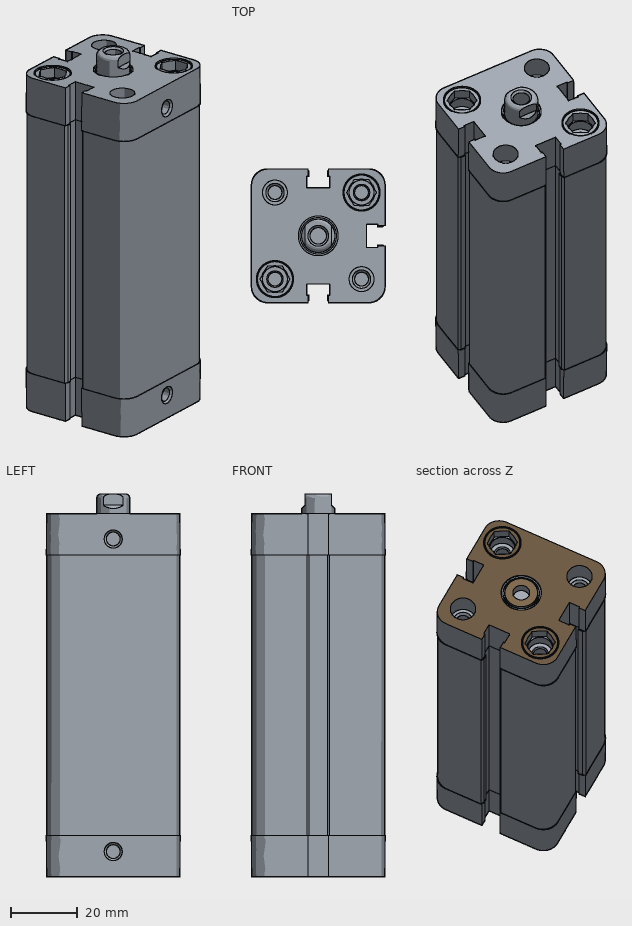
import cadquery as cq
import math

TOTAL_HEIGHT = 115.0
CAP_HEIGHT = 12.4
ROD_STICK_OUT = 6.0
HOUSING_HEIGHT = TOTAL_HEIGHT - ROD_STICK_OUT
BARREL_HEIGHT = HOUSING_HEIGHT - 2 * CAP_HEIGHT

BARREL_WIDTH = 40.0
BARREL_CORNER_RADIUS = 5.2
CAP_BASE_WIDTH = 40.2
CAP_END_WIDTH = 40.0
CAP_CORNER_RADIUS = 5.0

SLOT_ANGLES = (-90, 0, 90)
SLOT_DEPTH = 5.5
SLOT_LIP = 2.2
SLOT_OVERRUN = 1.2
SLOT_WIDTH = 6.9
BARREL_MOUTH_WIDTH = 5.4
BARREL_MOUTH_CHAMFER = 0.7
CAP_MOUTH_WIDTH = 6.1

TAP_DIAMETER = 4.1
TAP_LEAD_DIAMETER = 5.0
WIDE_LEAD_DIAMETER = 5.5
TAP_DEPTH = 3.5
PORT_FROM_END = 7.6
PORT_DEPTH = 5.8

CORNER_OFFSET = 13.0
CORNER_HOLE_DIAMETER = 7.5
CORNER_HOLE_DEPTH = 6.9
HEAD_RECESS_DIAMETER = 11.2
HEAD_RECESS_DEPTH = 0.6
HEAD_DIAMETER = 10.9
HEAD_TOP_DIAMETER = 10.5
HEAD_BELOW_FACE = 0.2
SOCKET_CORNER_DIAMETER = 9.0
SOCKET_HEX_DEPTH = 3.5
SOCKET_RELIEF_DIAMETER = 8.0

ROD_DIAMETER = 10.0
ROD_TOP_RADIUS = 1.4
ROD_FLAT_WIDTH = 8.0
ROD_FLAT_HEIGHT = 3.5
ROD_BORE_DIAMETER = 5.0
ROD_BORE_LEAD_DIAMETER = 6.2
ROD_BORE_DEPTH = 9.2
SEAL_DIAMETER = 10.9
SEAL_MOUTH_DIAMETER = 12.0
SEAL_MOUTH_DEPTH = 0.6
SEAL_DEPTH = 1.2


def cone(large_diameter, small_diameter, height, z_large, direction=-1):
    """Cone frustum on the Z axis, wide at z_large and narrowing along direction."""
    return cq.Workplane(cq.Solid.makeCone(
        large_diameter / 2, small_diameter / 2, height,
        cq.Vector(0, 0, z_large), cq.Vector(0, 0, direction)))


def bore(diameter, depth, z_top):
    """Cylinder on the Z axis that reaches down from z_top."""
    return cq.Workplane("XY", origin=(0, 0, z_top)).circle(diameter / 2).extrude(-depth)


def tapped_bore(diameter, lead_diameter, depth, z_top):
    """Bore with a 45 degree lead-in cone."""
    lead = (lead_diameter - diameter) / 2
    return bore(diameter, depth, z_top).union(cone(lead_diameter, diameter, lead, z_top))


def t_slots(mouth_width, mouth_chamfer, height):
    """Cutters for the vertical T-slots, starting at Z = 0."""
    face = BARREL_WIDTH / 2
    outside = face + SLOT_OVERRUN
    wide = SLOT_WIDTH / 2
    mouth = mouth_width / 2
    flare = mouth + mouth_chamfer
    half = [(face - SLOT_DEPTH, wide), (face - SLOT_LIP, wide), (face - SLOT_LIP, mouth)]
    if mouth_chamfer:
        half += [(face - mouth_chamfer, mouth), (face, flare)]
    half.append((outside, flare))
    outline = half + [(x, -y) for x, y in reversed(half)]
    slot = cq.Workplane("XY").polyline(outline).close().extrude(height)
    cutters = cq.Workplane("XY")
    for angle in SLOT_ANGLES:
        cutters = cutters.add(slot.rotate((0, 0, 0), (0, 0, 1), angle))
    return cutters.combine()


def make_barrel():
    block = cq.Workplane("XY").box(
        BARREL_WIDTH, BARREL_WIDTH, BARREL_HEIGHT, centered=(True, True, False))
    block = block.edges("|Z").fillet(BARREL_CORNER_RADIUS)
    block = block.cut(t_slots(BARREL_MOUTH_WIDTH, BARREL_MOUTH_CHAMFER, BARREL_HEIGHT))
    return block.translate((0, 0, CAP_HEIGHT))


def make_cap_blank():
    """Slightly tapered cap with slots and air port; barrel side at Z = 0, free end up."""
    taper = math.degrees(math.atan2((CAP_BASE_WIDTH - CAP_END_WIDTH) / 2, CAP_HEIGHT))
    outline = cq.Sketch().rect(CAP_BASE_WIDTH, CAP_BASE_WIDTH).vertices().fillet(CAP_CORNER_RADIUS)
    blank = cq.Workplane("XY").placeSketch(outline).extrude(CAP_HEIGHT, taper=taper)
    blank = blank.cut(t_slots(CAP_MOUTH_WIDTH, 0, CAP_HEIGHT))
    port = tapped_bore(TAP_DIAMETER, WIDE_LEAD_DIAMETER, PORT_DEPTH, 0)
    port = port.rotate((0, 0, 0), (0, 1, 0), -90)
    return blank.cut(port.translate((-CAP_BASE_WIDTH / 2, 0, CAP_HEIGHT - PORT_FROM_END)))


def corner_hole():
    """Plain hole with a tapped bore in its floor, reaching down from Z = 0."""
    plain = bore(CORNER_HOLE_DIAMETER, CORNER_HOLE_DEPTH, 0)
    return plain.union(tapped_bore(TAP_DIAMETER, WIDE_LEAD_DIAMETER, TAP_DEPTH, -CORNER_HOLE_DEPTH))


def screw_head_recess():
    """What is cut from Z = 0 down to leave a bevelled screw head with a hexagon socket."""
    recess = bore(HEAD_RECESS_DIAMETER, HEAD_RECESS_DEPTH, 0)
    bevel = HEAD_RECESS_DEPTH - HEAD_BELOW_FACE
    head = cone(HEAD_DIAMETER, HEAD_TOP_DIAMETER, bevel, -HEAD_RECESS_DEPTH, direction=1)
    hexagon = cq.Workplane("XY").polygon(6, SOCKET_CORNER_DIAMETER).extrude(-SOCKET_HEX_DEPTH)
    relief = bore(SOCKET_RELIEF_DIAMETER, SOCKET_HEX_DEPTH, 0)
    socket = bore(CORNER_HOLE_DIAMETER, CORNER_HOLE_DEPTH, 0).union(hexagon).union(relief)
    tap = tapped_bore(TAP_DIAMETER, TAP_LEAD_DIAMETER, TAP_DEPTH, -CORNER_HOLE_DEPTH)
    return recess.cut(head).union(socket).union(tap)


def make_top_cap():
    cap = make_cap_blank().translate((0, 0, HOUSING_HEIGHT - CAP_HEIGHT))
    for side in (-1, 1):
        x = side * CORNER_OFFSET
        cap = cap.cut(corner_hole().translate((x, -x, HOUSING_HEIGHT)))
        cap = cap.cut(screw_head_recess().translate((x, x, HOUSING_HEIGHT)))
    cap = cap.cut(bore(ROD_DIAMETER, CAP_HEIGHT, HOUSING_HEIGHT))
    cap = cap.cut(bore(SEAL_DIAMETER, SEAL_DEPTH, HOUSING_HEIGHT))
    return cap.cut(bore(SEAL_MOUTH_DIAMETER, SEAL_MOUTH_DEPTH, HOUSING_HEIGHT))


def make_bottom_cap():
    return make_cap_blank().mirror("XY").translate((0, 0, CAP_HEIGHT))


def make_rod():
    """Rod from the barrel's end face to the top, with two wrench flats and a tapped end."""
    rod = bore(ROD_DIAMETER, CAP_HEIGHT + ROD_STICK_OUT, TOTAL_HEIGHT)
    rod = rod.faces(">Z").edges().fillet(ROD_TOP_RADIUS)

    flat = ROD_FLAT_WIDTH / 2
    outside = ROD_DIAMETER
    flat_end = TOTAL_HEIGHT - ROD_FLAT_HEIGHT
    run_out_end = flat_end - (outside - flat)
    cutter = cq.Workplane("XZ").polyline([
        (flat, TOTAL_HEIGHT), (flat, flat_end), (outside, run_out_end), (outside, TOTAL_HEIGHT),
    ]).close().extrude(ROD_DIAMETER / 2, both=True)
    rod = rod.cut(cutter).cut(cutter.mirror("YZ"))
    return rod.cut(tapped_bore(ROD_BORE_DIAMETER, ROD_BORE_LEAD_DIAMETER, ROD_BORE_DEPTH, TOTAL_HEIGHT))


barrel = make_barrel()
top_cap = make_top_cap()
bottom_cap = make_bottom_cap()
rod = make_rod()

result = cq.Compound.makeCompound([barrel.val(), top_cap.val(), bottom_cap.val(), rod.val()])